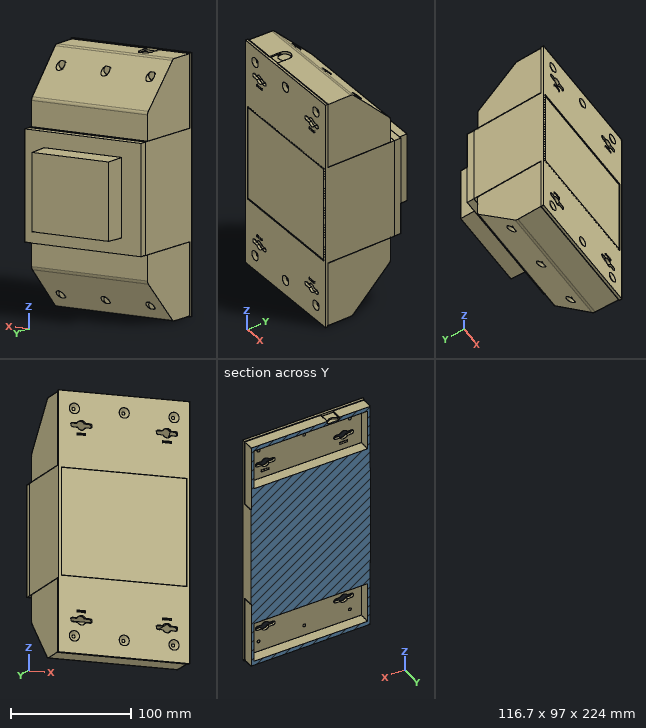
import cadquery as cq
import math

LENGTH = 224.0
WIDTH = 116.7
PLATE_THICKNESS = 2.7
SIDE_DRAFT = 1.0

HOUSING_LENGTH = 96.3
HOUSING_DEPTH = 77.2
STEP_DEPTH = 70.5
RIM_INSET = 0.11

BLOCK_WIDTH = 76.0
BLOCK_LENGTH = 68.3
TOTAL_DEPTH = 97.0
BLOCK_DRAFT = 1.5

COVER_INSET = 0.34
COVER_END = 111.3
COVER_DEPTH = 67.0
SLOPE_RUN = 39.2
CORNER_ROUND = 4.0

SIDE_WALL = 2.7
END_WALL = 4.5
SLOPE_WALL = 6.7
CHAMBER_START = 69.0

PANEL_WIDTH = 111.3
PANEL_LENGTH = 92.2
PANEL_RECESS = 1.0

SCREW_Z = 97.2
SINK_X = 44.3
SINK_DIAMETER = 9.0
SINK_TIP_DIAMETER = 2.7
SINK_DEPTH = 2.2
SLOPE_HOLE_X = 43.9
SLOPE_HOLE_DIAMETER = 7.5
SLOPE_HOLE_FLOOR = 38.5

KEYHOLE_X = 38.0
KEYHOLE_Z = 83.3
KEYHOLE_LENGTH = 19.0
KEYHOLE_SLOT = 3.8
KEYHOLE_BULB = 8.0
MARK_Z = 75.7
MARK_LENGTH = 7.6
MARK_HEIGHT = 1.5

RECESS_X = -22.0
RECESS_Y = 14.5
RECESS_DIAMETER = 11.6
RECESS_DEPTH = 2.7
CHANNEL_DEPTH = 1.3

DRAFT_SLOPE = math.tan(math.radians(SIDE_DRAFT))
SLOPE_END = COVER_END - SLOPE_RUN
SLOPE_START_DEPTH = COVER_DEPTH - SLOPE_RUN


def xz_plane(y):
    """Plane at depth y with local axes X and Z; extrusion runs toward -Y."""
    return cq.Workplane("XZ", origin=(0, y, 0))


def half_width(y):
    """Half the housing width at depth y."""
    return WIDTH / 2 - y * DRAFT_SLOPE


def drafted_slab(y0, y1, z0, z1, inset=0.0):
    """Slab between two depths and two heights, with drafted sides."""
    near = half_width(y0) - inset
    far = half_width(y1) - inset
    outline = [(-near, y0), (near, y0), (far, y1), (-far, y1)]
    return cq.Workplane("XY").workplane(offset=z0).polyline(outline).close().extrude(z1 - z0)


def housing():
    """Mounting plate, middle housing and the front block."""
    half = HOUSING_LENGTH / 2
    plate = drafted_slab(0, PLATE_THICKNESS, -LENGTH / 2, LENGTH / 2)
    middle = drafted_slab(0, STEP_DEPTH, -half, half)
    rim_width = 2 * (half_width(STEP_DEPTH) - RIM_INSET)
    rim_length = HOUSING_LENGTH - 2 * RIM_INSET
    rim = xz_plane(STEP_DEPTH).rect(rim_width, rim_length).extrude(STEP_DEPTH - HOUSING_DEPTH)
    block = (
        xz_plane(HOUSING_DEPTH)
        .rect(BLOCK_WIDTH, BLOCK_LENGTH)
        .extrude(HOUSING_DEPTH - TOTAL_DEPTH, taper=BLOCK_DRAFT)
    )
    return plate.union(middle).union(rim).union(block)


def prism_across(outline):
    """YZ outline extruded over the full width."""
    return cq.Workplane("YZ").polyline(outline).close().extrude(WIDTH / 2, both=True)


def upper_cover():
    """Solid terminal cover at the +Z end."""
    upper_corner = (COVER_DEPTH, SLOPE_END)
    lower_corner = (SLOPE_START_DEPTH, COVER_END)
    prism = prism_across([(0, 0), (COVER_DEPTH, 0), upper_corner, lower_corner, (0, COVER_END)])
    for corner in (lower_corner, upper_corner):
        prism = prism.edges(cq.NearestToPointSelector((0, *corner))).fillet(CORNER_ROUND)
    return prism.intersect(drafted_slab(0, COVER_DEPTH, 0, COVER_END, COVER_INSET))


def upper_chamber():
    """Hollow inside the +Z cover, running from the plate to a wall parallel to the slope."""
    end = COVER_END - END_WALL
    slope_sum = SLOPE_START_DEPTH + COVER_END - SLOPE_WALL * math.sqrt(2)
    depth = slope_sum - CHAMBER_START
    prism = prism_across([(0, CHAMBER_START), (depth, CHAMBER_START), (slope_sum - end, end), (0, end)])
    inset = COVER_INSET + SIDE_WALL
    return prism.intersect(drafted_slab(PLATE_THICKNESS, depth, CHAMBER_START, end, inset))


def screw_holes():
    """Countersinks on the back and blind round holes in the slope of the +Z cover."""
    sink_places = [(x, SCREW_Z) for x in (-SINK_X, 0, SINK_X)]
    slope_places = [(x, SCREW_Z) for x in (-SLOPE_HOLE_X, 0, SLOPE_HOLE_X)]
    sink_angle = math.degrees(math.atan((SINK_DIAMETER - SINK_TIP_DIAMETER) / 2 / SINK_DEPTH))
    sinks = (
        xz_plane(0)
        .pushPoints(sink_places)
        .circle(SINK_DIAMETER / 2)
        .extrude(-SINK_DEPTH, taper=sink_angle)
    )
    slope_holes = (
        xz_plane(SLOPE_HOLE_FLOOR)
        .pushPoints(slope_places)
        .circle(SLOPE_HOLE_DIAMETER / 2)
        .extrude(SLOPE_HOLE_FLOOR - COVER_DEPTH)
    )
    return sinks.union(slope_holes)


def keyholes():
    """Keyholes and narrow slots through the plate at the +Z end."""
    places = [(-KEYHOLE_X, KEYHOLE_Z), (KEYHOLE_X, KEYHOLE_Z)]
    marks = [(-KEYHOLE_X, MARK_Z), (KEYHOLE_X, MARK_Z)]
    reach = -2 * PLATE_THICKNESS
    slots = xz_plane(0).pushPoints(places).slot2D(KEYHOLE_LENGTH, KEYHOLE_SLOT).extrude(reach)
    bulbs = xz_plane(0).pushPoints(places).circle(KEYHOLE_BULB / 2).extrude(reach)
    narrow = xz_plane(0).pushPoints(marks).rect(MARK_LENGTH, MARK_HEIGHT).extrude(reach)
    return slots.union(bulbs).union(narrow)


def end_recess():
    """Round recess in the +Z end face with a shallower channel leading to the plate."""
    top = cq.Workplane("XY", origin=(RECESS_X, RECESS_Y, COVER_END))
    round_part = top.circle(RECESS_DIAMETER / 2).extrude(-RECESS_DEPTH)
    run = RECESS_Y - PLATE_THICKNESS
    channel = top.center(0, -run / 2).rect(RECESS_DIAMETER, run).extrude(-CHANNEL_DEPTH)
    return round_part.union(channel)


def both_ends(shape):
    """The shape together with its mirror image at the -Z end."""
    return shape.union(shape.mirror("XY"))


panel = xz_plane(0).rect(PANEL_WIDTH, PANEL_LENGTH).extrude(-PANEL_RECESS)

result = (
    housing()
    .union(both_ends(upper_cover()))
    .cut(both_ends(upper_chamber()))
    .cut(both_ends(screw_holes()))
    .cut(both_ends(keyholes()))
    .cut(end_recess())
    .cut(panel)
)